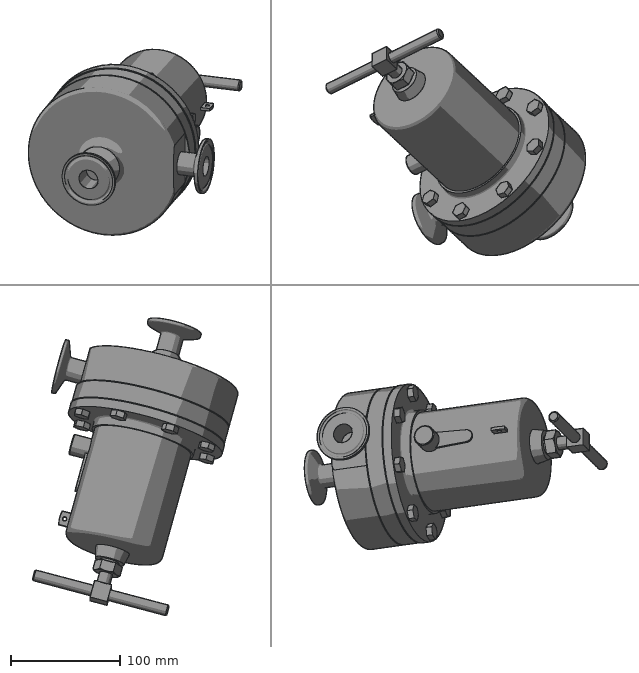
import cadquery as cq
import math


TOLERANCE = 0.003

FERRULE_LENGTH = 21.5
RIM_RADIUS = 25.3
RIM_WIDTH = 3.2
RIM_FILLET = 1.5
RIM_CONE_ANGLE = 20
PIPE_RADIUS = 10.7
PIPE_FILLET = 1.9
BORE_RADIUS = 9.0
GASKET_RADIUS = 21.5
GASKET_GROOVE_RADIUS = 1.5
GASKET_EDGE_FILLET = 0.8

NECK_RADIUS = 19.2
NECK_CONE_START = 25.3
NECK_CONE_END = 33.3
NECK_FILLET = 6.0

BOWL_START = 43.0
BOWL_END = 77.0
BOWL_RADIUS = 72.5
BOWL_FILLET = 3.2
RING_END = 93.8
JOINT_WIDTH = 0.8
JOINT_RADIUS = 72.2
FLANGE_RADIUS = 73.0
FLANGE_END = 103.0

COLLAR_RADIUS = 48.0
COLLAR_END = 112.0
COLLAR_FILLET = 3.0
BONNET_RADIUS = 45.8
BONNET_END = 217.0
BONNET_FILLET = 6.5
BOSS_BASE_RADIUS = 16.0
BOSS_TOP_RADIUS = 13.5
BOSS_END = 227.5

NUT_NECK_RADIUS = 8.8
NUT_START = 230.0
NUT_END = 239.5
NUT_FLATS = 22.5
NUT_CHAMFER_ANGLE = 30
STEM_RADIUS = 6.0
TOTAL_LENGTH = 266.5
HANDLE_BLOCK = 16.3
HANDLE_RADIUS = 5.0
HANDLE_LENGTH = 127.4
HANDLE_CHAMFER = 1.0

BOLT_COUNT = 8
BOLT_CIRCLE_RADIUS = 64.0
BOLT_FLATS = 13.0
BOLT_HEAD_HEIGHT = 5.5

OUTLET_FACE_X = 92.7
OUTLET_Y = 63.1
BOWL_FLAT_X = 68.2

PLUG_Y = 130.8
PLUG_RADIUS = 9.5
PLUG_END_X = 62.3
PLUG_CHAMFER = 0.8
PAD_FACE_X = 47.7
PAD_TIP_Y = 166.5
PAD_TIP_RADIUS = 5.9
PAD_ROOT_RADIUS = 7.7
LUG_Y = 200.0
LUG_WIDTH = 13.0
LUG_THICKNESS = 2.7
LUG_END_X = 55.0
LUG_CROWN = 0.8
LUG_HOLE_X = 50.0
LUG_HOLE_RADIUS = 1.9


def turned(profile):
    """Revolve a closed (radius, y) profile about the Y axis."""
    return profile.revolve(360, (0, 0, 0), (0, 1, 0))


def disc(radius, start, end):
    """Cylinder on the Y axis between two stations."""
    return cq.Workplane("XZ", origin=(0, start, 0)).circle(radius).extrude(start - end)


def hex_prism(flats, start, end):
    """Hexagonal prism on the Y axis with two corners on the X axis."""
    corner_diameter = flats / math.cos(math.pi / 6)
    return cq.Workplane("XZ", origin=(0, start, 0)).polygon(6, corner_diameter).extrude(start - end)


def round_circles(solid, circles, fillet_radius):
    """Fillet the circular edges given as (radius, y) pairs on the Y axis."""

    def wanted(edge):
        if edge.geomType() != "CIRCLE":
            return False
        return any(
            math.isclose(edge.radius(), radius, abs_tol=TOLERANCE)
            and math.isclose(edge.arcCenter().y, station, abs_tol=TOLERANCE)
            for radius, station in circles
        )

    return solid.edges().filter(wanted).fillet(fillet_radius)


def ferrule():
    """Clamp ferrule with its face at y = 0 and its pipe along +Y."""
    slope = math.radians(RIM_CONE_ANGLE)
    cone_end = RIM_WIDTH + (RIM_RADIUS - PIPE_RADIUS) * math.tan(slope)
    turn = math.pi / 2 - slope
    tangent = PIPE_FILLET * math.tan(turn / 2)
    fillet_end = cone_end + tangent
    fillet_start = (PIPE_RADIUS + tangent * math.cos(slope), cone_end - tangent * math.sin(slope))
    fillet_middle = (
        PIPE_RADIUS + PIPE_FILLET * (1 - math.cos(turn / 2)),
        fillet_end - PIPE_FILLET * math.sin(turn / 2),
    )
    profile = (
        cq.Workplane("XY")
        .moveTo(0, 0)
        .lineTo(RIM_RADIUS, 0)
        .lineTo(RIM_RADIUS, RIM_WIDTH)
        .lineTo(*fillet_start)
        .threePointArc(fillet_middle, (PIPE_RADIUS, fillet_end))
        .lineTo(PIPE_RADIUS, FERRULE_LENGTH)
        .lineTo(0, FERRULE_LENGTH)
        .close()
    )
    groove = cq.Workplane(
        cq.Solid.makeTorus(
            GASKET_RADIUS, GASKET_GROOVE_RADIUS, cq.Vector(0, 0, 0), cq.Vector(0, 1, 0)
        )
    )
    groove_edges = [
        (GASKET_RADIUS - GASKET_GROOVE_RADIUS, 0),
        (GASKET_RADIUS + GASKET_GROOVE_RADIUS, 0),
    ]
    body = round_circles(turned(profile), [(RIM_RADIUS, RIM_WIDTH)], RIM_FILLET)
    body = round_circles(body.cut(groove), groove_edges, GASKET_EDGE_FILLET)
    return body.cut(disc(BORE_RADIUS, 0, FERRULE_LENGTH))


def neck():
    """Pipe stub, cone and filleted root that join the inlet to the bowl."""
    fillet_start = BOWL_START - NECK_FILLET
    arc_offset = NECK_FILLET * (1 - math.sqrt(0.5))
    profile = (
        cq.Workplane("XY")
        .moveTo(0, FERRULE_LENGTH)
        .lineTo(PIPE_RADIUS, FERRULE_LENGTH)
        .lineTo(PIPE_RADIUS, NECK_CONE_START)
        .lineTo(NECK_RADIUS, NECK_CONE_END)
        .lineTo(NECK_RADIUS, fillet_start)
        .threePointArc(
            (NECK_RADIUS + arc_offset, BOWL_START - arc_offset),
            (NECK_RADIUS + NECK_FILLET, BOWL_START),
        )
        .lineTo(0, BOWL_START)
        .close()
    )
    return turned(profile)


def bowl():
    """Round bowl with a filleted bottom edge and a flat for the outlet."""
    body = disc(BOWL_RADIUS, BOWL_START, BOWL_END).faces("<Y").edges().fillet(BOWL_FILLET)
    beyond_flat = (
        cq.Workplane("YZ", origin=(BOWL_FLAT_X, 0, 0))
        .rect(2 * BOWL_END, 2 * BOWL_RADIUS)
        .extrude(BOWL_RADIUS)
    )
    return body.cut(beyond_flat)


def outlet():
    """Side ferrule along +X with a solid stub that reaches the bowl."""
    pipe = (
        ferrule()
        .rotate((0, 0, 0), (0, 0, 1), 90)
        .translate((OUTLET_FACE_X, OUTLET_Y, 0))
    )
    stub = (
        cq.Workplane("YZ", origin=(BOWL_FLAT_X, OUTLET_Y, 0))
        .circle(PIPE_RADIUS)
        .extrude(OUTLET_FACE_X - FERRULE_LENGTH - BOWL_FLAT_X)
    )
    return pipe.union(stub)


def bonnet():
    """Spring housing: filleted collar, domed-edge cylinder and tapered boss."""
    collar_offset = COLLAR_FILLET * (1 - math.sqrt(0.5))
    dome_offset = BONNET_FILLET * (1 - math.sqrt(0.5))
    profile = (
        cq.Workplane("XY")
        .moveTo(0, FLANGE_END)
        .lineTo(COLLAR_RADIUS + COLLAR_FILLET, FLANGE_END)
        .threePointArc(
            (COLLAR_RADIUS + collar_offset, FLANGE_END + collar_offset),
            (COLLAR_RADIUS, FLANGE_END + COLLAR_FILLET),
        )
        .lineTo(COLLAR_RADIUS, COLLAR_END)
        .lineTo(BONNET_RADIUS, COLLAR_END)
        .lineTo(BONNET_RADIUS, BONNET_END - BONNET_FILLET)
        .threePointArc(
            (BONNET_RADIUS - dome_offset, BONNET_END - dome_offset),
            (BONNET_RADIUS - BONNET_FILLET, BONNET_END),
        )
        .lineTo(BOSS_BASE_RADIUS, BONNET_END)
        .lineTo(BOSS_TOP_RADIUS, BOSS_END)
        .lineTo(0, BOSS_END)
        .close()
    )
    return turned(profile)


def lock_nut():
    """Hexagon nut with its +Y corners turned off by a cone."""
    corner_radius = NUT_FLATS / 2 / math.cos(math.pi / 6)
    drop = (corner_radius - NUT_FLATS / 2) * math.tan(math.radians(NUT_CHAMFER_ANGLE))
    envelope = turned(
        cq.Workplane("XY")
        .moveTo(0, NUT_START)
        .lineTo(corner_radius, NUT_START)
        .lineTo(corner_radius, NUT_END - drop)
        .lineTo(NUT_FLATS / 2, NUT_END)
        .lineTo(0, NUT_END)
        .close()
    )
    return hex_prism(NUT_FLATS, NUT_START, NUT_END).intersect(envelope)


def tee_handle():
    """Stem, square block and cross bar."""
    block_middle = TOTAL_LENGTH - HANDLE_BLOCK / 2
    stem = disc(STEM_RADIUS, NUT_END, block_middle)
    block = cq.Workplane("XY").box(HANDLE_BLOCK, HANDLE_BLOCK, HANDLE_BLOCK)
    bar = (
        cq.Workplane("YZ")
        .circle(HANDLE_RADIUS)
        .extrude(HANDLE_LENGTH / 2, both=True)
        .faces("<X or >X")
        .edges()
        .chamfer(HANDLE_CHAMFER)
    )
    return stem.union(block.union(bar).translate((0, block_middle, 0)))


def bolt_heads():
    """Hexagon heads spread evenly round the cover, none on the X or Z axis."""
    pitch = 360 / BOLT_COUNT
    first_angle = math.radians(pitch / 2)
    first_place = (
        BOLT_CIRCLE_RADIUS * math.cos(first_angle),
        0,
        BOLT_CIRCLE_RADIUS * math.sin(first_angle),
    )
    head = (
        hex_prism(BOLT_FLATS, FLANGE_END, FLANGE_END + BOLT_HEAD_HEIGHT)
        .rotate((0, 0, 0), (0, 1, 0), 90)
        .translate(first_place)
    )
    heads = cq.Workplane("XY")
    for index in range(BOLT_COUNT):
        heads = heads.add(head.rotate((0, 0, 0), (0, 1, 0), index * pitch))
    return heads.combine()


def plug_and_pad():
    """Round plug standing on a tapered, round-ended pad."""
    span = PAD_TIP_Y - PLUG_Y
    sine = (PAD_ROOT_RADIUS - PAD_TIP_RADIUS) / span
    cosine = math.sqrt(1 - sine**2)
    root_y = PLUG_Y + PAD_ROOT_RADIUS * sine
    root_z = PAD_ROOT_RADIUS * cosine
    tip_y = PAD_TIP_Y + PAD_TIP_RADIUS * sine
    tip_z = PAD_TIP_RADIUS * cosine
    pad = (
        cq.Workplane("YZ")
        .moveTo(root_y, root_z)
        .lineTo(tip_y, tip_z)
        .threePointArc((PAD_TIP_Y + PAD_TIP_RADIUS, 0), (tip_y, -tip_z))
        .lineTo(root_y, -root_z)
        .threePointArc((PLUG_Y - PAD_ROOT_RADIUS, 0), (root_y, root_z))
        .close()
        .extrude(PAD_FACE_X)
    )
    plug = (
        cq.Workplane("YZ", origin=(0, PLUG_Y, 0))
        .circle(PLUG_RADIUS)
        .extrude(PLUG_END_X)
        .faces(">X")
        .edges()
        .chamfer(PLUG_CHAMFER)
    )
    return pad.union(plug)


def lug():
    """Thin drilled tab with a crowned outer end."""
    low = LUG_Y - LUG_WIDTH / 2
    high = LUG_Y + LUG_WIDTH / 2
    corner_x = LUG_END_X - LUG_CROWN
    return (
        cq.Workplane("XY")
        .moveTo(0, low)
        .lineTo(corner_x, low)
        .threePointArc((LUG_END_X, LUG_Y), (corner_x, high))
        .lineTo(0, high)
        .close()
        .moveTo(LUG_HOLE_X, LUG_Y)
        .circle(LUG_HOLE_RADIUS)
        .extrude(LUG_THICKNESS / 2, both=True)
    )


result = (
    ferrule()
    .union(neck())
    .union(bowl())
    .union(disc(JOINT_RADIUS, BOWL_END, FLANGE_END))
    .union(disc(BOWL_RADIUS, BOWL_END + JOINT_WIDTH, RING_END))
    .union(disc(FLANGE_RADIUS, RING_END + JOINT_WIDTH, FLANGE_END))
    .union(bonnet())
    .union(disc(NUT_NECK_RADIUS, BOSS_END, NUT_START))
    .union(lock_nut())
    .union(tee_handle())
    .union(bolt_heads())
    .union(plug_and_pad())
    .union(lug())
    .union(outlet())
)